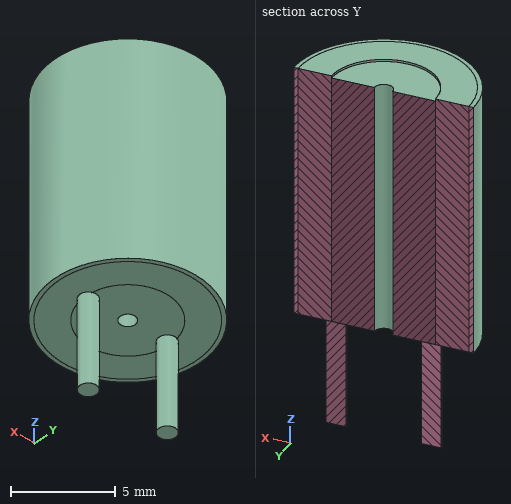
import cadquery as cq

total_height = 19.12
case_height = 13.52
case_diameter = 9.5
wall_thickness = 0.25
core_diameter = 5.47
core_recess = 0.11
bore_diameter = 0.95
pin_diameter = 1.07
pin_spacing = 5.0

liner_diameter = case_diameter - 2 * wall_thickness
core_height = case_height - core_recess
pin_length = total_height - case_height
pin_positions = [-pin_spacing / 2, pin_spacing / 2]


def make_tube(outer_diameter, inner_diameter, height):
    """Upright tube standing on Z = 0."""
    return (
        cq.Workplane("XY")
        .circle(outer_diameter / 2)
        .circle(inner_diameter / 2)
        .extrude(height)
    )


def make_pin(x):
    """Terminal pin standing below the base, its top end flush with Z = 0."""
    return (
        cq.Workplane("XY", origin=(x, 0, -pin_length))
        .circle(pin_diameter / 2)
        .extrude(pin_length)
    )


case = make_tube(case_diameter, liner_diameter, case_height)
liner = make_tube(liner_diameter, core_diameter, case_height)
core = make_tube(core_diameter, bore_diameter, core_height)

pins = [make_pin(x) for x in pin_positions]

result = cq.Compound.makeCompound([case.val(), liner.val(), core.val(), *[pin.val() for pin in pins]])